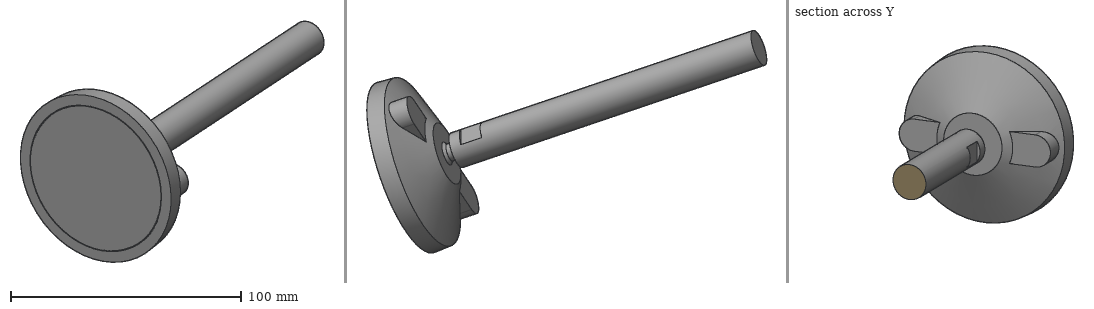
import cadquery as cq

total_length = 170.0
rim_height = 8.25
lug_top = 18.0
cone_top = 20.0
shaft_start = 24.75
flat_start = shaft_start + 5.0
flat_length = 10.0

base_diameter = 78.0
rim_top_diameter = 77.0
cone_top_diameter = 28.0

groove_outer_diameter = 68.0
pad_diameter = 67.5
groove_depth = 1.0

collar_diameter = 10.5
neck_diameter = 7.8
collar_top = cone_top + (collar_diameter - neck_diameter) / 2
shaft_diameter = 16.0
across_flats = 13.0

lug_spacing = 58.0
lug_width = 14.5


def make_foot():
    """Revolve the base, collar, neck and shaft about the Y axis."""
    profile = [
        (0, 0),
        (base_diameter / 2, 0),
        (rim_top_diameter / 2, rim_height),
        (cone_top_diameter / 2, cone_top),
        (collar_diameter / 2, cone_top),
        (neck_diameter / 2, collar_top),
        (neck_diameter / 2, shaft_start),
        (shaft_diameter / 2, shaft_start),
        (shaft_diameter / 2, total_length),
        (0, total_length),
    ]
    return cq.Workplane("XY").polyline(profile).close().revolve(360, (0, 0, 0), (0, 1, 0))


def disc_along_y(diameter, length):
    """Cylinder on the Y axis, starting at the floor face."""
    return cq.Workplane("XZ").circle(diameter / 2).extrude(-length)


def make_lugs():
    """Round-ended bar across the base; its two ends stand out of the cone as lugs."""
    lug_root = rim_height / 2
    root_plane = cq.Workplane("XZ", origin=(0, lug_root, 0))
    return root_plane.slot2D(lug_spacing + lug_width, lug_width).extrude(lug_root - lug_top)


def make_pad_groove():
    """Ring-shaped gap around the sole pad."""
    outer = disc_along_y(groove_outer_diameter, groove_depth)
    return outer.cut(disc_along_y(pad_diameter, groove_depth))


def make_flat_cutter(side):
    """Block that cuts one wrench flat; side is -1 or +1 along X."""
    cutter = cq.Workplane("XY").box(shaft_diameter, flat_length, shaft_diameter)
    offset_x = side * (across_flats + shaft_diameter) / 2
    return cutter.translate((offset_x, flat_start + flat_length / 2, 0))


result = make_foot().union(make_lugs()).cut(make_pad_groove())
for side in (-1, 1):
    result = result.cut(make_flat_cutter(side))